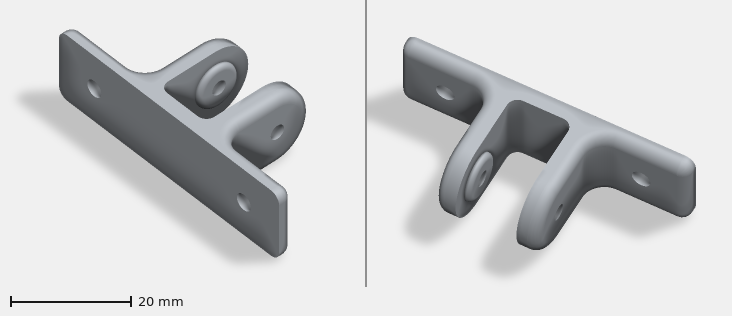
import cadquery as cq

length = 54.5
depth = 23.0
height = 15.0
plate_thickness = 3.0
corner_radius = 2.0
edge_round = 1.95

lug_gap = 11.5
lug_thickness = 4.0
outer_bend_radius = 4.0
inner_bend_radius = 1.95
lug_tip_radius = height / 2
pivot_y = depth - lug_tip_radius
lug_outer_x = lug_gap / 2 + lug_thickness

boss_diameter = 9.0
boss_height = 1.05
boss_round = 1.0
pivot_hole_diameter = 3.0
mount_hole_diameter = 3.5
mount_hole_spacing = 37.05

SIDES = (-1, 1)


def make_body():
    """Plate and lugs with bends at the lug roots, rounded corners and lug tips."""
    plate = cq.Workplane("XY").box(length, plate_thickness, height, centered=(True, False, True))
    plate = plate.edges("|Y").fillet(corner_radius)
    lug_block = (
        cq.Workplane("YZ")
        .moveTo(0, -height / 2)
        .lineTo(pivot_y, -height / 2)
        .threePointArc((depth, 0), (pivot_y, height / 2))
        .lineTo(0, height / 2)
        .close()
        .extrude(lug_outer_x, both=True)
    )
    gap = (
        cq.Workplane("XY")
        .box(lug_gap, depth, height, centered=(True, False, True))
        .edges("|Z and <Y")
        .fillet(inner_bend_radius)
        .translate((0, plate_thickness, 0))
    )
    body = plate.union(lug_block).cut(gap)
    for side in SIDES:
        root = cq.selectors.NearestToPointSelector((side * lug_outer_x, plate_thickness, 0))
        body = body.edges("|Z").edges(root).fillet(outer_bend_radius)
    return body


def round_outer_edges(body):
    """Round the continuous edge loop around the outward face of each side."""
    for side in SIDES:
        start = cq.selectors.NearestToPointSelector((side * length / 2, plate_thickness, 0))
        body = body.edges(start).fillet(edge_round)
    return body


def make_boss(side):
    """Rounded pad on the inner face of one lug."""
    inner_face = cq.Plane(origin=(side * lug_gap / 2, pivot_y, 0), xDir=(0, 1, 0), normal=(-side, 0, 0))
    pad = cq.Workplane(inner_face).circle(boss_diameter / 2).extrude(boss_height)
    rim = ">X" if side < 0 else "<X"
    return pad.faces(rim).edges().fillet(boss_round)


def make_mount_hole(side):
    """Screw hole cutter through the plate."""
    start = cq.Workplane("XZ").center(side * mount_hole_spacing / 2, 0)
    return start.circle(mount_hole_diameter / 2).extrude(-plate_thickness)


result = round_outer_edges(make_body())
for side in SIDES:
    result = result.union(make_boss(side)).cut(make_mount_hole(side))

pivot_hole = (
    cq.Workplane("YZ")
    .center(pivot_y, 0)
    .circle(pivot_hole_diameter / 2)
    .extrude(lug_outer_x, both=True)
)
result = result.cut(pivot_hole)